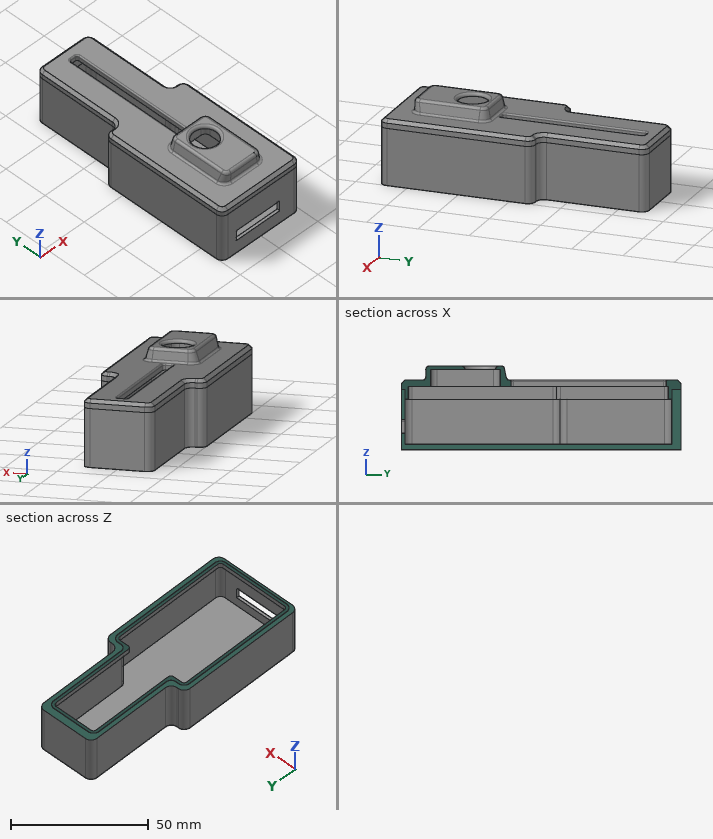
import cadquery as cq
length = 101.6
grip_width = 40.1
nose_width = 26.7
shoulder_y = 59.7
corner_radius = 2.9

case_height = 25.4
total_height = 30.5
split_z = 22.0
top_chamfer = 1.3

side_wall = 2.1
front_wall = 1.3
back_wall = 3.5
cavity_radius = 2.5
floor_thickness = 2.0
roof_thickness = 2.4
roof_z = case_height - roof_thickness

lip_thickness = 1.2
lip_bottom_z = 18.3

opening_width = 22.4
opening_height = 4.9
opening_x = -1.5
opening_z = 6.1
opening_radius = 0.6

slot_width = 4.1
slot_start_y = 39.8
slot_end_y = 96.1
slot_corner_radius = 0.9
slot_lip = 0.6

boss_front_y = 8.8
boss_base_width = 20.6
boss_base_back_y = 38.3
boss_base_radius = 3.5
boss_top_width = 17.5
boss_top_back_y = 37.3
boss_top_radius = 2.2
boss_edge_radius = 1.3
boss_foot_radius = 1.0

boss_hollow_width = 14.8
boss_hollow_front_y = 10.7
boss_hollow_back_y = 35.9
boss_hollow_radius = 2.3
boss_roof_thickness = 1.3
hole_diameter = 11.2
hole_y = 28.7
hole_lip = 1.2

selection_reach = 0.2


def stepped_prism(grip_half, nose_half, front_y, step_y, back_y, radius, bottom_z, top_z):
    """Upright prism over the stepped outline, with all of its vertical edges rounded."""
    return (
        cq.Workplane("XY", origin=(0, 0, bottom_z))
        .polyline([
            (-grip_half, front_y),
            (grip_half, front_y),
            (grip_half, step_y),
            (nose_half, step_y),
            (nose_half, back_y),
            (-nose_half, back_y),
            (-nose_half, step_y),
            (-grip_half, step_y),
        ])
        .close()
        .extrude(top_z - bottom_z)
        .edges("|Z")
        .fillet(radius)
    )


def case_prism(bottom_z, top_z):
    return stepped_prism(
        grip_width / 2, nose_width / 2, 0, shoulder_y, length, corner_radius, bottom_z, top_z
    )


def cavity_prism(bottom_z, top_z, inset=0.0):
    """Prism that fills the cavity, drawn in from its walls by the inset."""
    return stepped_prism(
        grip_width / 2 - side_wall - inset,
        nose_width / 2 - side_wall - inset,
        front_wall + inset,
        shoulder_y - side_wall - inset,
        length - back_wall - inset,
        cavity_radius - inset,
        bottom_z,
        top_z,
    )


def rounded_rectangle(width, front_y, back_y, radius):
    depth = back_y - front_y
    middle_y = (front_y + back_y) / 2
    return cq.Sketch().push([(0, middle_y)]).rect(width, depth).reset().vertices().fillet(radius)


def rounded_block(width, front_y, back_y, radius, bottom_z, top_z):
    outline = rounded_rectangle(width, front_y, back_y, radius)
    return cq.Workplane("XY", origin=(0, 0, bottom_z)).placeSketch(outline).extrude(top_z - bottom_z)


def make_base():
    opening = (
        cq.Workplane("XY")
        .box(opening_width, 2 * front_wall, opening_height, centered=(True, True, False))
        .edges("|Y and >Z")
        .fillet(opening_radius)
        .translate((opening_x, 0, opening_z))
    )
    return case_prism(0, split_z).cut(cavity_prism(floor_thickness, split_z)).cut(opening)


def make_boss():
    foot = rounded_rectangle(boss_base_width, boss_front_y, boss_base_back_y, boss_base_radius)
    crown = rounded_rectangle(boss_top_width, boss_front_y, boss_top_back_y, boss_top_radius)
    return (
        cq.Workplane("XY")
        .placeSketch(
            foot.moved(cq.Location(cq.Vector(0, 0, case_height))),
            crown.moved(cq.Location(cq.Vector(0, 0, total_height))),
        )
        .loft(ruled=True)
    )


def edges_near(body, width, front_y, back_y, z):
    """Edges of the body at height z that lie on or just around a rectangle centred on X."""
    low_corner = (-width / 2 - selection_reach, front_y - selection_reach, z - selection_reach)
    high_corner = (width / 2 + selection_reach, back_y + selection_reach, z + selection_reach)
    return body.edges(cq.selectors.BoxSelector(low_corner, high_corner))


def add_boss(lid):
    boss_footprint = (boss_base_width, boss_front_y, boss_base_back_y)
    lid = lid.union(make_boss())
    lid = edges_near(lid, *boss_footprint, total_height).fillet(boss_edge_radius)
    return edges_near(lid, *boss_footprint, case_height).fillet(boss_foot_radius)


def hollow_out(lid):
    """Add the locating lip under the lid, then empty the space inside it and inside the boss."""
    lip = cavity_prism(lip_bottom_z, split_z)
    lip_inside = cavity_prism(lip_bottom_z, roof_z, lip_thickness)
    boss_hollow = rounded_block(
        boss_hollow_width,
        boss_hollow_front_y,
        boss_hollow_back_y,
        boss_hollow_radius,
        roof_z,
        total_height - boss_roof_thickness,
    )
    return lid.union(lip).cut(lip_inside).cut(boss_hollow)


def cut_slot(lid):
    slot = rounded_block(
        slot_width, slot_start_y, slot_end_y, slot_corner_radius, roof_z, case_height
    )
    lid = lid.cut(slot)
    rim = edges_near(lid, slot_width, slot_start_y, slot_end_y, case_height)
    return rim.fillet(slot_lip)


def cut_boss_hole(lid):
    hole = (
        cq.Workplane("XY", origin=(0, hole_y, roof_z))
        .circle(hole_diameter / 2)
        .extrude(total_height - roof_z)
    )
    lid = lid.cut(hole)
    hole_front_y = hole_y - hole_diameter / 2
    hole_back_y = hole_y + hole_diameter / 2
    rim = edges_near(
        lid.faces(">Z"), hole_diameter, hole_front_y, hole_back_y, total_height
    ).edges("%CIRCLE")
    return rim.fillet(hole_lip)


def make_lid():
    lid = case_prism(split_z, case_height).faces(">Z").chamfer(top_chamfer)
    lid = add_boss(lid)
    lid = hollow_out(lid)
    lid = cut_slot(lid)
    return cut_boss_hole(lid)


base = make_base()
lid = make_lid()
result = cq.Compound.makeCompound([base.solids().val(), lid.solids().val()])